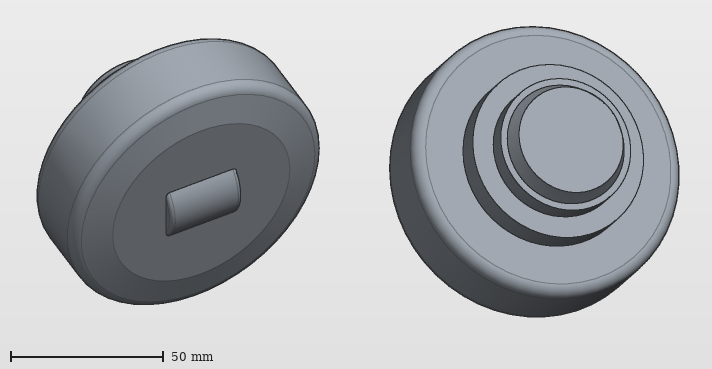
import cadquery as cq
import math

wheel_radius = 46.4
wheel_back = 22.9
wheel_front = 53.1
rim_fillet = 4.0
front_fillet_center = 47.0
front_cone_angle = math.radians(12)

tip_radius = 18.0
tip_base_radius = 20.2
tip_length = 5.4
pin_radius = 22.5
pin_end = 13.0
hub_radius = 29.5

overall_length = 57.0
roller_radius = 14.5
roller_width = 26.2
roller_fillet = 1.4


def point_on_fillet(center_x, center_radius, angle):
    """Point on a rim fillet, with the angle measured from +X."""
    return (center_x + rim_fillet * math.cos(angle), center_radius + rim_fillet * math.sin(angle))


def make_wheel():
    fillet_center_radius = wheel_radius - rim_fillet
    back_fillet_center = wheel_back + rim_fillet

    cone_start = point_on_fillet(front_fillet_center, fillet_center_radius, front_cone_angle)
    cone_end_radius = cone_start[1] - (wheel_front - cone_start[0]) / math.tan(front_cone_angle)
    back_mid = point_on_fillet(back_fillet_center, fillet_center_radius, math.radians(135))
    front_mid_angle = (math.pi / 2 + front_cone_angle) / 2
    front_mid = point_on_fillet(front_fillet_center, fillet_center_radius, front_mid_angle)

    return (
        cq.Workplane("XY")
        .moveTo(0, 0)
        .lineTo(0, tip_radius)
        .lineTo(tip_length, tip_base_radius)
        .lineTo(tip_length, pin_radius)
        .lineTo(pin_end, pin_radius)
        .lineTo(pin_end, hub_radius)
        .lineTo(wheel_back, hub_radius)
        .lineTo(wheel_back, fillet_center_radius)
        .threePointArc(back_mid, (back_fillet_center, wheel_radius))
        .lineTo(front_fillet_center, wheel_radius)
        .threePointArc(front_mid, cone_start)
        .lineTo(wheel_front, cone_end_radius)
        .lineTo(wheel_front, 0)
        .close()
        .revolve(360, (0, 0, 0), (1, 0, 0))
    )


def make_roller():
    return (
        cq.Workplane("XZ")
        .center(overall_length - roller_radius, 0)
        .circle(roller_radius)
        .extrude(roller_width / 2, both=True)
        .faces("<Y or >Y")
        .edges()
        .fillet(roller_fillet)
    )


result = make_wheel().union(make_roller())